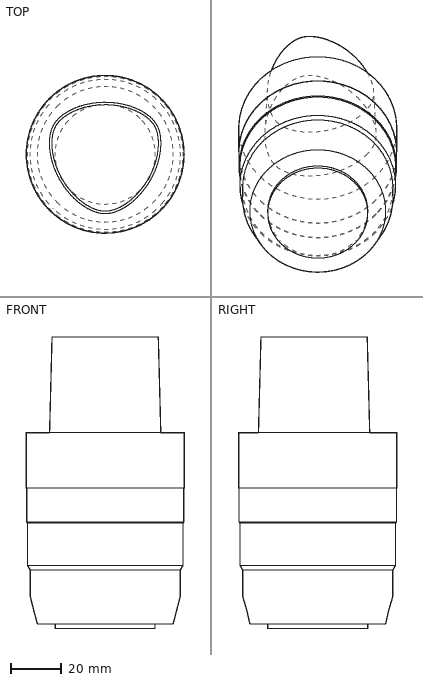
import cadquery as cq
import math

total_height = 116.2

spigot_diameter = 39.9
cone_end_diameter = 54.1
nose_diameter = 59.8
lower_band_diameter = 62.0
middle_band_diameter = 62.7
collar_diameter = 63.0

spigot_top = 1.9
cone_top = 12.8
nose_top = 23.4
lower_band_bottom = 25.2
lower_band_top = 42.1
middle_band_top = 56.0
shoulder_height = 78.1

shank_base_width = 44.4
shank_top_width = 42.4
lobe_offset = 1.45
curve_points = 72


def make_body():
    """Revolve the stepped half profile around Z."""
    middle_band_chamfer = (middle_band_diameter - lower_band_diameter) / 2
    stations = [
        (spigot_diameter, 0),
        (spigot_diameter, spigot_top),
        (cone_end_diameter, spigot_top),
        (nose_diameter, cone_top),
        (nose_diameter, nose_top),
        (lower_band_diameter, lower_band_bottom),
        (lower_band_diameter, lower_band_top),
        (middle_band_diameter, lower_band_top + middle_band_chamfer),
        (middle_band_diameter, middle_band_top),
        (collar_diameter, middle_band_top),
        (collar_diameter, shoulder_height),
    ]
    half_profile = [(diameter / 2, z) for diameter, z in stations]
    outline = [(0, 0)] + half_profile + [(0, shoulder_height)]
    return cq.Workplane("XZ").polyline(outline).close().revolve(360, (0, 0), (0, 1))


def lobed_wire(width, z):
    """Closed constant-width curve with three lobes, one of them toward -Y."""

    def point(turn):
        angle = 2 * math.pi * turn
        along_lobe = (
            width / 2 * math.cos(angle)
            + lobe_offset * (2 * math.cos(2 * angle) - math.cos(4 * angle))
        )
        across_lobe = (
            width / 2 * math.sin(angle)
            - lobe_offset * (2 * math.sin(2 * angle) + math.sin(4 * angle))
        )
        return (across_lobe, -along_lobe, z)

    points = [cq.Vector(*point(i / curve_points)) for i in range(curve_points)]
    return cq.Wire.assembleEdges([cq.Edge.makeSpline(points, periodic=True)])


def make_shank():
    """Taper the lobed section from the shoulder to the top face."""
    base = lobed_wire(shank_base_width, shoulder_height)
    top = lobed_wire(shank_top_width, total_height)
    return cq.Solid.makeLoft([base, top], True)


result = make_body().union(cq.Workplane(obj=make_shank()))